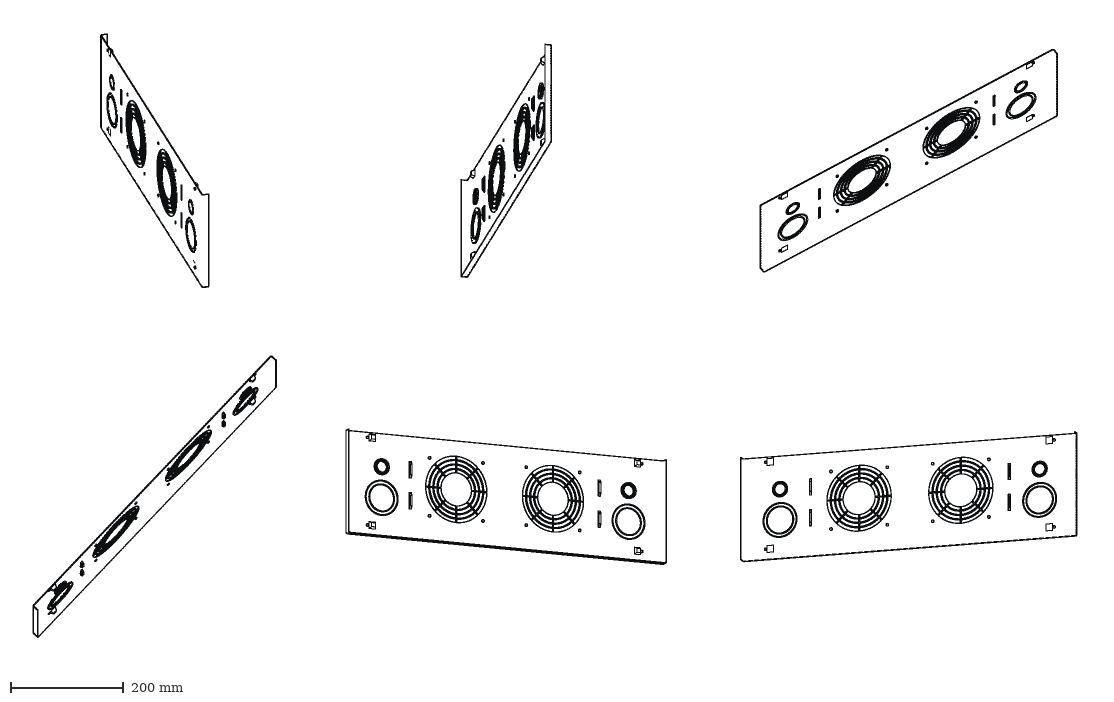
import cadquery as cq

length = 625.0
depth = 12.5
height = 188.0
sheet = 1.5
outer_bend_radius = 3.0
inner_bend_radius = outer_bend_radius - sheet

fan_x = 95.0
fan_z = 6.0
hub_diameter = 60.0
slot_count = 4
slot_width = 6.0
rib_width = 2.0
slot_pitch = slot_width + rib_width
spoke_count = 8
fan_hole_pitch = 105.0
fan_hole_diameter = 4.75

upper_z = 34.0
lower_z = -22.5

bead_x = 242.5
small_bead_outer = 25.5
small_bead_inner = 22.5
small_bead_depth = 3.0
large_bead_outer = 60.5
large_bead_inner = 50.5
large_bead_depth = 2.5

bridge_x = 185.5
bridge_length = 29.5
bridge_width = 4.0
bridge_rise = 4.0
bridge_ramp = 5.5

corner_x = 269.0
corner_rows = (85.0, -74.0)
corner_hole_diameter = 4.5
block_offset = 9.0
block_base = 12.5
block_height = 5.5
block_taper = 25.0

sides = (-1, 1)


def disc(x, z, diameter, thickness):
    """Round disc that starts on the front plane and runs back."""
    return cq.Workplane("XZ", origin=(x, 0, z)).circle(diameter / 2).extrude(-thickness)


def ring(x, z, outer, inner, thickness):
    return disc(x, z, outer, thickness).cut(disc(x, z, inner, thickness))


def bent_block(side_gap, bend_radius):
    """Tray envelope moved inward by side_gap, open at the top and rear when the gap is not zero."""
    block = (
        cq.Workplane("XY", origin=(0, side_gap, side_gap - height / 2))
        .box(length - 2 * side_gap, depth - side_gap, height - side_gap, centered=(True, False, False))
    )
    block = block.edges("<Y and |Z").fillet(bend_radius)
    return block.faces("<Z").edges("<Y").fillet(bend_radius)


def make_tray():
    return bent_block(0, outer_bend_radius).cut(bent_block(sheet, inner_bend_radius))


def cut_fan_grille(panel, x):
    grille_diameter = hub_diameter + 2 * (slot_count * slot_pitch - rib_width)
    spokes = disc(x, fan_z, hub_diameter, sheet)
    for i in range(spoke_count // 2):
        spoke = (
            cq.Workplane("XY")
            .box(grille_diameter, sheet, rib_width, centered=(True, False, True))
            .rotate((0, 0, 0), (0, 1, 0), i * 360 / spoke_count)
            .translate((x, 0, fan_z))
        )
        spokes = spokes.union(spoke)
    for i in range(slot_count):
        slot_inner = hub_diameter + 2 * i * slot_pitch
        slot = ring(x, fan_z, slot_inner + 2 * slot_width, slot_inner, sheet)
        panel = panel.cut(slot.cut(spokes))
    return panel


def cut_fan_holes(panel, x):
    for side in sides:
        for level in sides:
            hole_x = x + side * fan_hole_pitch / 2
            hole_z = fan_z + level * fan_hole_pitch / 2
            panel = panel.cut(disc(hole_x, hole_z, fan_hole_diameter, sheet))
    return panel


def add_bead(panel, x, z, outer, inner, groove_depth):
    ridge = ring(x, z, outer + 2 * sheet, inner - 2 * sheet, groove_depth + sheet)
    groove = ring(x, z, outer, inner, groove_depth)
    return panel.union(ridge).cut(groove)


def add_bridge(panel, x, z):
    half = bridge_length / 2
    crest = half - bridge_ramp
    slot = (
        cq.Workplane("XY", origin=(x, 0, z))
        .box(bridge_width, sheet, bridge_length, centered=(True, False, True))
    )
    front_line = [(0, -half), (bridge_rise, -crest), (bridge_rise, crest), (0, half)]
    rear_line = [(y + sheet, along) for y, along in reversed(front_line)]
    strap = (
        cq.Workplane("YZ", origin=(x - bridge_width / 2, 0, z))
        .polyline(front_line + rear_line)
        .close()
        .extrude(bridge_width)
    )
    return panel.cut(slot).union(strap)


def make_panel():
    panel = make_tray()
    for side in sides:
        panel = cut_fan_grille(panel, side * fan_x)
        panel = cut_fan_holes(panel, side * fan_x)
        panel = add_bead(
            panel, side * bead_x, upper_z, small_bead_outer, small_bead_inner, small_bead_depth
        )
        panel = add_bead(
            panel, side * bead_x, lower_z, large_bead_outer, large_bead_inner, large_bead_depth
        )
        for z in (upper_z, lower_z):
            panel = add_bridge(panel, side * bridge_x, z)
        for z in corner_rows:
            panel = panel.cut(disc(side * corner_x, z, corner_hole_diameter, sheet))
    return panel


def make_rear_block(x, z):
    """Square block that tapers toward the rear and sits on the rear face of the front wall."""
    return (
        cq.Workplane("XZ", origin=(x, sheet, z))
        .rect(block_base, block_base)
        .extrude(-block_height, taper=block_taper)
    )


panel = make_panel()
rear_blocks = [
    make_rear_block(side * (corner_x - block_offset), z).val()
    for side in sides
    for z in corner_rows
]

result = cq.Compound.makeCompound([panel.val(), *rear_blocks])